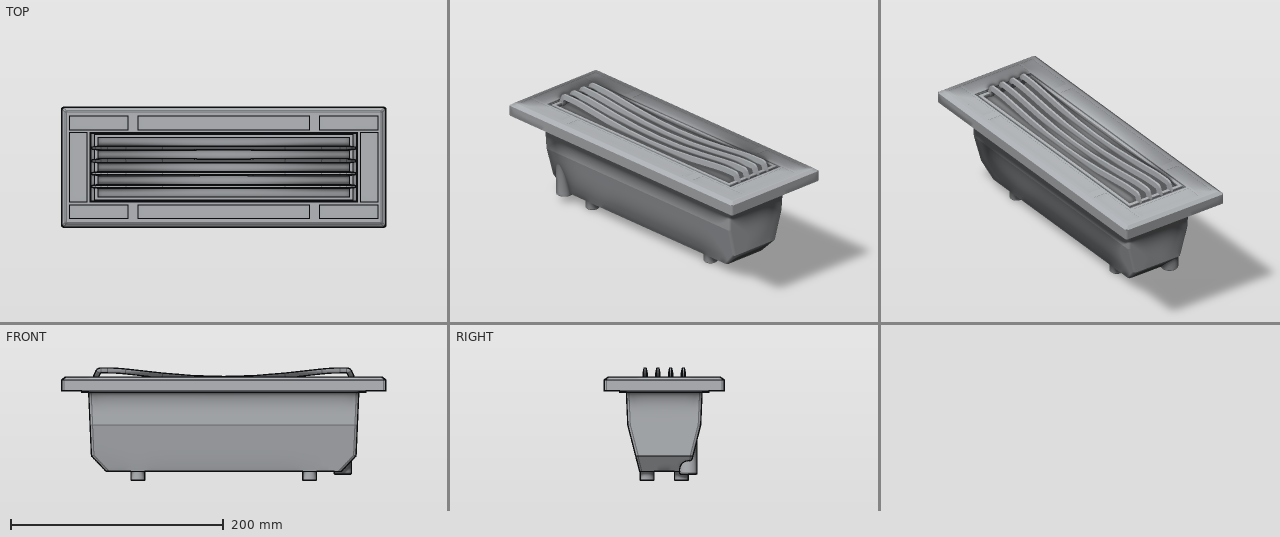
import cadquery as cq
import math


FRAME_LENGTH = 305.0
FRAME_WIDTH = 113.0
FRAME_HEIGHT = 13.0
FRAME_CORNER_RADIUS = 2.1
RIM_CHAMFER_DROP = 2.8
RIM_CHAMFER_INSET = 3.8
RIM_BLEND_RADIUS = 2.0

PANEL_DEPTH = 0.2
PANEL_OUTER_X = 144.9
LONG_PANEL_LENGTH = 161.4
CORNER_PANEL_LENGTH = 55.0
LONG_PANEL_WIDTH = 13.1
LONG_PANEL_Y = 41.8
END_PANEL_LENGTH = 16.5
END_PANEL_WIDTH = 65.2

OPENING_LENGTH = 251.2
OPENING_WIDTH = 65.2
OPENING_DEPTH = 2.0
LEDGE_WIDTH = 0.9
LEDGE_HEIGHT = 0.6

TRAY_LENGTH = 243.2
TRAY_WIDTH = 61.4
TRAY_HOLLOW_LENGTH = 236.6
TRAY_HOLLOW_WIDTH = 56.0
TRAY_FLOOR_Z = -3.5

FLANGE_LENGTH = 267.4
FLANGE_WIDTH = 84.0
FLANGE_THICKNESS = 1.6

BODY_BOTTOM_Z = -88.9
BODY_TOP_HALF_LENGTH = 127.2
BODY_TOP_HALF_WIDTH = 35.8
BODY_DRAFT = 2.5
BODY_KINK_Z = -45.2
BODY_BOTTOM_HALF_WIDTH = 23.2
END_BEVEL_TOP_Z = -74.2
BODY_BOTTOM_HALF_LENGTH = 110.5
BODY_EDGE_RADIUS = 2.5

FOOT_DIAMETER = 13.3
FOOT_SPACING_X = 161.4
FOOT_SPACING_Y = 32.2
FOOT_CHAMFER = 0.8
DRAIN_DIAMETER = 16.5
DRAIN_X = 111.9
DRAIN_Y = 22.7
DRAIN_BOTTOM_Z = -91.6
DRAIN_TOP_Z = -50.0
DRAIN_RADIUS = 1.5

BAR_COUNT = 4
BAR_PITCH = 12.0
BAR_TOP_Z = 8.5
PART_HEIGHT = 106.0
PART_BOTTOM_Z = BAR_TOP_Z - PART_HEIGHT
BAR_DEPTH = 4.8
BAR_FOOT_EMBED = 1.0
BAR_TOP_WIDTH = 2.0
BAR_SIDE_DRAFT = 12.0
BAR_LEG_LEAN = 24.0
BAR_LEG_OUTER_X = 122.8
BAR_LEG_INNER_X = 117.2
BAR_BEND_RADIUS = 5.2
BAR_CREST_X = 109.2
BAR_SLOPE_START_X = 92.0
BAR_SLOPE_END_X = 57.5
BAR_SLOPE = 6.3
BAR_FOOT_Z = TRAY_FLOOR_Z - BAR_FOOT_EMBED


def block(length, width, bottom_z, top_z):
    return (
        cq.Workplane("XY")
        .workplane(offset=bottom_z)
        .rect(length, width)
        .extrude(top_z - bottom_z)
    )


def make_frame():
    half_length = FRAME_LENGTH / 2
    half_width = FRAME_WIDTH / 2
    frame = block(FRAME_LENGTH, FRAME_WIDTH, -FRAME_HEIGHT, 0)
    for half_size, plane, run in (
        (half_length, "XZ", FRAME_WIDTH),
        (half_width, "YZ", FRAME_LENGTH),
    ):
        outline = (
            cq.Workplane(plane)
            .moveTo(-half_size, -FRAME_HEIGHT)
            .lineTo(-half_size, -RIM_CHAMFER_DROP)
            .lineTo(-half_size + RIM_CHAMFER_INSET, 0)
            .lineTo(half_size - RIM_CHAMFER_INSET, 0)
            .lineTo(half_size, -RIM_CHAMFER_DROP)
            .lineTo(half_size, -FRAME_HEIGHT)
            .close()
            .extrude(run / 2, both=True)
        )
        frame = frame.intersect(outline)
    frame = frame.edges("not(|X or |Y)").fillet(FRAME_CORNER_RADIUS)
    return frame.faces(">Z").edges().fillet(RIM_BLEND_RADIUS)


def make_panel_pockets():
    corner_panel_x = PANEL_OUTER_X - CORNER_PANEL_LENGTH / 2
    end_panel_x = PANEL_OUTER_X - END_PANEL_LENGTH / 2
    long_row = [(0, LONG_PANEL_Y), (0, -LONG_PANEL_Y)]
    corners = [(sx * corner_panel_x, sy * LONG_PANEL_Y) for sx in (-1, 1) for sy in (-1, 1)]
    ends = [(-end_panel_x, 0), (end_panel_x, 0)]

    def pockets(centres, length, width):
        return cq.Workplane("XY").pushPoints(centres).rect(length, width).extrude(-PANEL_DEPTH)

    return [
        pockets(long_row, LONG_PANEL_LENGTH, LONG_PANEL_WIDTH),
        pockets(corners, CORNER_PANEL_LENGTH, LONG_PANEL_WIDTH),
        pockets(ends, END_PANEL_LENGTH, END_PANEL_WIDTH),
    ]


def make_opening():
    floor_length = OPENING_LENGTH - 2 * LEDGE_WIDTH
    floor_width = OPENING_WIDTH - 2 * LEDGE_WIDTH
    opening = block(OPENING_LENGTH, OPENING_WIDTH, LEDGE_HEIGHT - OPENING_DEPTH, 0)
    return opening.union(block(floor_length, floor_width, -OPENING_DEPTH, 0))


def make_tray():
    return block(TRAY_LENGTH, TRAY_WIDTH, -OPENING_DEPTH, 0)


def make_body():
    top_z = -FRAME_HEIGHT
    draft = math.tan(math.radians(BODY_DRAFT))
    bevel_half_length = BODY_TOP_HALF_LENGTH - (top_z - END_BEVEL_TOP_Z) * draft
    kink_half_width = BODY_TOP_HALF_WIDTH - (top_z - BODY_KINK_Z) * draft
    side_outline = [
        (BODY_TOP_HALF_LENGTH, top_z),
        (bevel_half_length, END_BEVEL_TOP_Z),
        (BODY_BOTTOM_HALF_LENGTH, BODY_BOTTOM_Z),
    ]
    end_outline = [
        (BODY_TOP_HALF_WIDTH, top_z),
        (kink_half_width, BODY_KINK_Z),
        (BODY_BOTTOM_HALF_WIDTH, BODY_BOTTOM_Z),
    ]

    def symmetric_prism(plane, half_outline, half_run):
        mirrored = [(-x, z) for x, z in reversed(half_outline)]
        return cq.Workplane(plane).polyline(half_outline + mirrored).close().extrude(half_run, both=True)

    body = symmetric_prism("XZ", side_outline, BODY_TOP_HALF_WIDTH)
    body = body.intersect(symmetric_prism("YZ", end_outline, BODY_TOP_HALF_LENGTH))

    corner_edges = body.edges("not(|X or |Y)")
    return corner_edges.fillet(BODY_EDGE_RADIUS)


def make_feet():
    foot_height = BODY_BOTTOM_Z - PART_BOTTOM_Z
    return (
        cq.Workplane("XY")
        .workplane(offset=BODY_BOTTOM_Z)
        .rect(FOOT_SPACING_X, FOOT_SPACING_Y, forConstruction=True)
        .vertices()
        .circle(FOOT_DIAMETER / 2)
        .extrude(-foot_height)
        .faces("<Z")
        .edges()
        .chamfer(FOOT_CHAMFER)
    )


def make_drain():
    return (
        cq.Workplane("XY")
        .workplane(offset=DRAIN_BOTTOM_Z)
        .center(DRAIN_X, DRAIN_Y)
        .circle(DRAIN_DIAMETER / 2)
        .extrude(DRAIN_TOP_Z - DRAIN_BOTTOM_Z)
        .faces("<Z")
        .edges()
        .fillet(DRAIN_RADIUS)
    )


def bar_outline():
    """Closed outline under the bar's outer line, running well below the tray floor."""
    lean = math.tan(math.radians(BAR_LEG_LEAN))
    slope = math.radians(BAR_SLOPE)
    bottom_z = BAR_FOOT_Z - 2 * BAR_DEPTH

    corner_x = BAR_LEG_OUTER_X - BAR_TOP_Z * lean
    turn = math.radians(90 - BAR_LEG_LEAN)
    bend_x = corner_x - BAR_BEND_RADIUS * math.tan(turn / 2)
    bend_centre_z = BAR_TOP_Z - BAR_BEND_RADIUS

    crest_radius = (BAR_CREST_X - BAR_SLOPE_START_X) / math.sin(slope)
    sag_radius = BAR_SLOPE_END_X / math.sin(slope)
    slope_start_z = BAR_TOP_Z - crest_radius * (1 - math.cos(slope))
    slope_end_z = slope_start_z - (BAR_SLOPE_START_X - BAR_SLOPE_END_X) * math.tan(slope)
    middle_z = slope_end_z - sag_radius * (1 - math.cos(slope))

    def on_bend(angle):
        x = bend_x + BAR_BEND_RADIUS * math.sin(angle)
        return x, bend_centre_z + BAR_BEND_RADIUS * math.cos(angle)

    def on_crest(angle):
        x = BAR_CREST_X - crest_radius * math.sin(angle)
        return x, BAR_TOP_Z - crest_radius * (1 - math.cos(angle))

    def left(point):
        return -point[0], point[1]

    leg_foot = (BAR_LEG_OUTER_X - bottom_z * lean, bottom_z)
    slope_end = (BAR_SLOPE_END_X, slope_end_z)
    return (
        cq.Workplane("XZ")
        .moveTo(*leg_foot)
        .lineTo(*on_bend(turn))
        .threePointArc(on_bend(turn / 2), on_bend(0))
        .lineTo(*on_crest(0))
        .threePointArc(on_crest(slope / 2), on_crest(slope))
        .lineTo(*slope_end)
        .threePointArc((0, middle_z), left(slope_end))
        .lineTo(*left(on_crest(slope)))
        .threePointArc(left(on_crest(slope / 2)), left(on_crest(0)))
        .lineTo(*left(on_bend(0)))
        .threePointArc(left(on_bend(turn / 2)), left(on_bend(turn)))
        .lineTo(*left(leg_foot))
        .close()
    )


def make_bar():
    """One sagging bar on two legs; its cross-section widens from the top line inward."""
    side_width = BAR_DEPTH * math.tan(math.radians(BAR_SIDE_DRAFT))
    half_top_width = BAR_TOP_WIDTH / 2
    half_width = half_top_width + side_width

    core = bar_outline().extrude(half_top_width, both=True)
    side = bar_outline().extrude(side_width, taper=90 - BAR_SIDE_DRAFT)
    front_side = side.translate((0, -half_top_width, 0))
    back_side = front_side.mirror("XZ")

    underside = bar_outline().offset2D(-BAR_DEPTH).extrude(half_width, both=True)
    between_legs = block(2 * BAR_LEG_INNER_X, 2 * half_width, BAR_FOOT_Z, BAR_TOP_Z)
    envelope = core.union(front_side).union(back_side)
    above_feet = block(FRAME_LENGTH, 2 * half_width, BAR_FOOT_Z, BAR_TOP_Z)
    return envelope.cut(underside.intersect(between_legs)).intersect(above_feet)


def make_part():
    part = make_frame()
    part = part.union(block(FLANGE_LENGTH, FLANGE_WIDTH, -FRAME_HEIGHT - FLANGE_THICKNESS, -FRAME_HEIGHT))
    part = part.union(make_body())
    part = part.union(make_feet()).union(make_drain())
    for pockets in make_panel_pockets():
        part = part.cut(pockets)
    part = part.cut(make_opening()).union(make_tray())
    part = part.cut(block(TRAY_HOLLOW_LENGTH, TRAY_HOLLOW_WIDTH, TRAY_FLOOR_Z, 0))
    bar = make_bar()
    for index in range(BAR_COUNT):
        y = (index - (BAR_COUNT - 1) / 2) * BAR_PITCH
        part = part.union(bar.translate((0, y, 0)))
    return part


result = make_part()